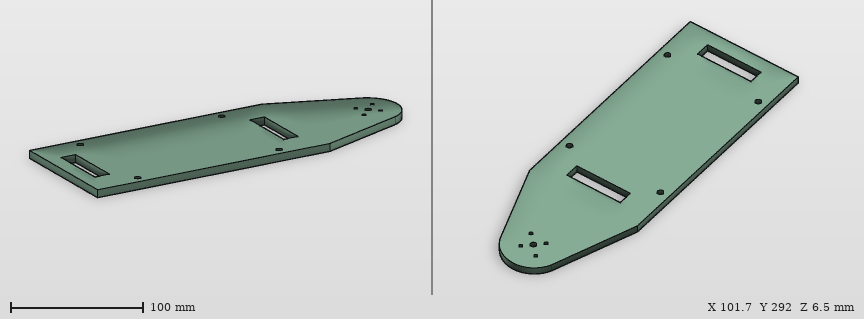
import cadquery as cq
import math

length = 292
width = 101.7
thickness = 6.5
shoulder_y = 203.3
nose_half_width = 24.2
nose_height = 15.8

slot_width = 50.2
slot_height = 12.5
slot_centers_y = (19.0, 184.3)

mount_diameter = 5.0
mount_spacing_x = 85.5
mount_rows_y = (39.7, 163.5)

hub_y = 266.7
hub_diameter = 5.0
pin_diameter = 3
pin_pairs = ((45, 9.5), (135, 12.3))


def make_plate():
    half_width = width / 2
    nose_start_y = length - nose_height
    return (
        cq.Workplane("XY")
        .moveTo(-half_width, 0)
        .lineTo(half_width, 0)
        .lineTo(half_width, shoulder_y)
        .lineTo(nose_half_width, nose_start_y)
        .threePointArc((0, length), (-nose_half_width, nose_start_y))
        .lineTo(-half_width, shoulder_y)
        .close()
        .extrude(thickness)
    )


def make_slots():
    centers = [(0, y) for y in slot_centers_y]
    return cq.Workplane("XY").pushPoints(centers).rect(slot_width, slot_height).extrude(thickness)


def make_holes(centers, diameter):
    return cq.Workplane("XY").pushPoints(centers).circle(diameter / 2).extrude(thickness)


def pin_centers():
    centers = []
    for angle, distance in pin_pairs:
        dx = distance * math.cos(math.radians(angle))
        dy = distance * math.sin(math.radians(angle))
        centers += [(dx, hub_y + dy), (-dx, hub_y - dy)]
    return centers


mount_centers = [(side * mount_spacing_x / 2, y) for side in (-1, 1) for y in mount_rows_y]

result = (
    make_plate()
    .cut(make_slots())
    .cut(make_holes(mount_centers, mount_diameter))
    .cut(make_holes([(0, hub_y)], hub_diameter))
    .cut(make_holes(pin_centers(), pin_diameter))
)